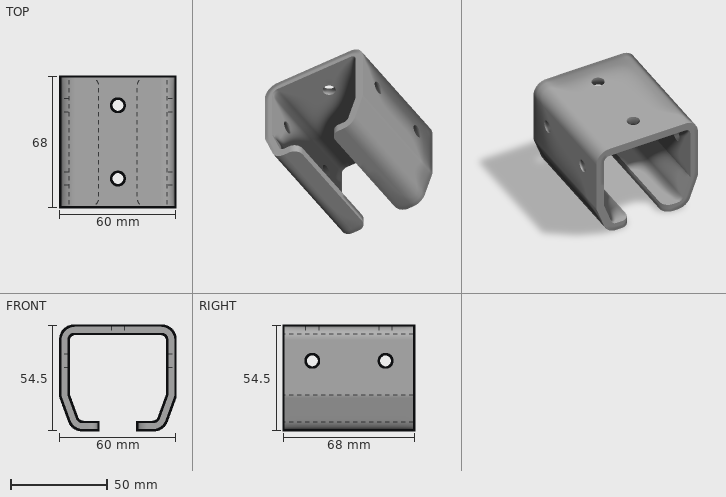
import cadquery as cq
import math

width = 60.0
length = 68.0
height = 54.5
wall = 4.5

top_radius = 7.5
side_radius = wall
bottom_radius = 7.5

lean_angle = 20.0
knee_depth = 36.8

slot_width = 20.0
lip_corner_radius = 5.0

hole_diameter = 6.9
hole_spacing = 38.0
side_hole_depth = 18.35

lean = math.radians(lean_angle)


def section_outline(inset):
    """Sharp-cornered closed section, moved inward by inset."""
    half_width = width / 2 - inset
    top = height - inset
    bottom = inset
    knee = height - knee_depth + inset * math.tan(lean / 2)
    half_bottom = half_width - (knee - bottom) * math.tan(lean)
    return [
        (-half_bottom, bottom),
        (half_bottom, bottom),
        (half_width, knee),
        (half_width, top),
        (-half_width, top),
        (-half_width, knee),
    ]


def rounded_prism(inset):
    """Section extruded along Y, centred on the origin, with its bends rounded."""
    body = cq.Workplane("XZ").polyline(section_outline(inset)).close().extrude(length / 2, both=True)
    knee = height - knee_depth
    regions = [
        (bottom_radius, -wall, knee / 2),
        (side_radius, knee / 2, (knee + height) / 2),
        (top_radius, (knee + height) / 2, height + wall),
    ]
    for radius, low, high in regions:
        bend = radius - inset
        if bend > 0:
            box = cq.selectors.BoxSelector((-width, -length, low), (width, length, high))
            body = body.edges("|Y").edges(box).fillet(bend)
    return body


def bottom_slot():
    """Opening between the lips, flaring outward at both ends to round the lip corners."""
    half_slot = slot_width / 2
    half_length = length / 2
    slot = cq.Workplane("XY").box(slot_width, length, wall, centered=(True, True, False))
    for x_side in (-1, 1):
        for y_side in (-1, 1):
            edge_x = x_side * half_slot
            end_y = y_side * half_length
            center_x = x_side * (half_slot + lip_corner_radius)
            center_y = y_side * (half_length - lip_corner_radius)
            reach = lip_corner_radius * math.sqrt(0.5)
            corner = (
                cq.Workplane("XY")
                .moveTo(edge_x, end_y)
                .lineTo(edge_x, center_y)
                .threePointArc((center_x - x_side * reach, center_y + y_side * reach), (center_x, end_y))
                .close()
                .extrude(wall)
            )
            slot = slot.union(corner)
    return slot


def hole_pair(plane, origin, depth, points):
    """Two round cutters along the channel."""
    return cq.Workplane(plane, origin=origin).pushPoints(points).circle(hole_diameter / 2).extrude(depth)


half_spacing = hole_spacing / 2
top_holes = hole_pair("XY", (0, 0, height / 2), height, [(0, -half_spacing), (0, half_spacing)])
side_holes = hole_pair(
    "YZ", (-width, 0, height - side_hole_depth), 2 * width, [(-half_spacing, 0), (half_spacing, 0)]
)

channel = rounded_prism(0).cut(rounded_prism(wall))
result = channel.cut(bottom_slot()).cut(top_holes).cut(side_holes)